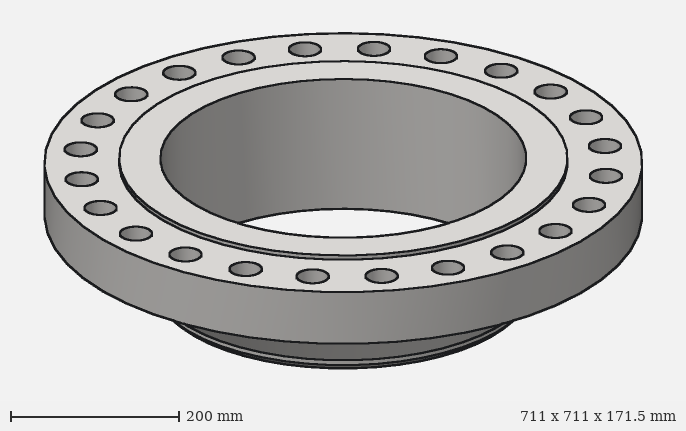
import cadquery as cq

flange_diameter = 711.0
flange_thickness = 68.0
face_diameter = 533.5
face_height = 6.0
total_height = 171.5
bore_diameter = 435.0

hub_base_diameter = 530.5
hub_fillet_radius = 10.0
hub_end_diameter = 458.0
bevel_width = 8.5
bevel_height = 8.5
land_height = 6.5

bolt_count = 24
bolt_circle_diameter = 629.0
bolt_hole_diameter = 38.5

face_z = flange_thickness + face_height
hub_bottom_z = face_z - total_height
bevel_top_z = hub_bottom_z + bevel_height
land_top_z = bevel_top_z + land_height


def make_body():
    """Revolve the half section of plate, raised face and hub about Z."""
    bore_radius = bore_diameter / 2
    flange_radius = flange_diameter / 2
    face_radius = face_diameter / 2
    hub_base_radius = hub_base_diameter / 2
    hub_end_radius = hub_end_diameter / 2
    section = [
        (bore_radius, hub_bottom_z),
        (hub_end_radius - bevel_width, hub_bottom_z),
        (hub_end_radius, bevel_top_z),
        (hub_end_radius, land_top_z),
        (hub_base_radius, 0),
        (flange_radius, 0),
        (flange_radius, flange_thickness),
        (face_radius, flange_thickness),
        (face_radius, face_z),
        (bore_radius, face_z),
    ]
    body = cq.Workplane("XZ").polyline(section).close().revolve(360, (0, 0), (0, 1))
    underside = body.faces("|Z").faces(">Z[-3]")
    return underside.edges(cq.selectors.RadiusNthSelector(0)).fillet(hub_fillet_radius)


def make_bolt_holes():
    """Cylinders through the plate, the first one on the +X axis."""
    return (
        cq.Workplane("XY")
        .polarArray(bolt_circle_diameter / 2, 0, 360, bolt_count)
        .circle(bolt_hole_diameter / 2)
        .extrude(flange_thickness)
    )


result = make_body().cut(make_bolt_holes())